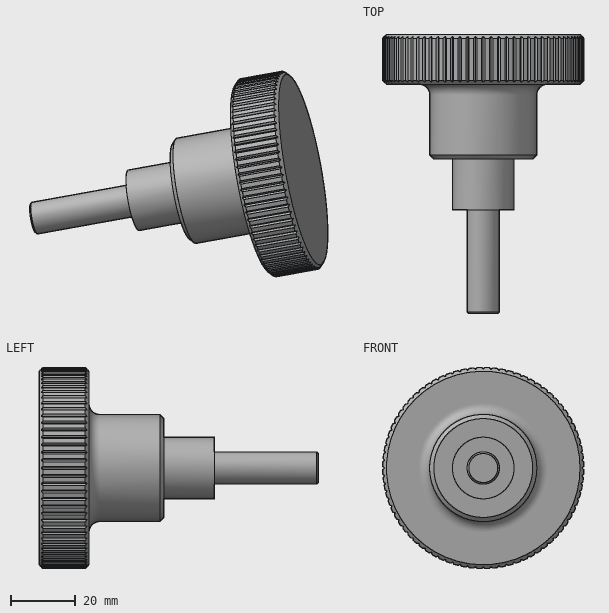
import cadquery as cq
import math

total_length = 86.0
head_back = total_length / 2

head_diameter = 62.0
head_thickness = 15.4
head_chamfer = 1.2
boss_diameter = 33.0
boss_length = 23.05
boss_chamfer = 1.3
boss_fillet = 3.3
groove_count = 80
groove_depth = 0.5
groove_angle = 90.0

collar_diameter = 19.0
collar_length = 15.6
pin_diameter = 10.0
pin_chamfer = 0.5

head_front = head_back - head_thickness
boss_front = head_front - boss_length
collar_front = boss_front - collar_length
pin_tip = head_back - total_length
head_radius = head_diameter / 2
boss_radius = boss_diameter / 2
collar_radius = collar_diameter / 2
pin_radius = pin_diameter / 2


def knob_blank():
    """Head and boss, turned from one half outline of (radius, y) points."""
    return (
        cq.Workplane("XY")
        .moveTo(0, head_back)
        .lineTo(head_radius - head_chamfer, head_back)
        .lineTo(head_radius, head_back - head_chamfer)
        .lineTo(head_radius, head_front + head_chamfer)
        .lineTo(head_radius - head_chamfer, head_front)
        .lineTo(boss_radius + boss_fillet, head_front)
        .radiusArc((boss_radius, head_front - boss_fillet), -boss_fillet)
        .lineTo(boss_radius, boss_front + boss_chamfer)
        .lineTo(boss_radius - boss_chamfer, boss_front)
        .lineTo(0, boss_front)
        .close()
        .revolve(360, (0, 0, 0), (0, 1, 0))
    )


def grip_grooves():
    """V-shaped cutters, evenly spaced around the rim and as long as the head is thick."""
    mouth_radius = head_radius + groove_depth
    root_radius = head_radius - groove_depth
    mouth_half_width = (mouth_radius - root_radius) * math.tan(math.radians(groove_angle / 2))
    cutter = (
        cq.Workplane("XZ", origin=(0, head_back, 0))
        .moveTo(root_radius, 0)
        .lineTo(mouth_radius, mouth_half_width)
        .lineTo(mouth_radius, -mouth_half_width)
        .close()
        .extrude(head_thickness)
        .val()
    )
    cutters = []
    for index in range(groove_count):
        cutters.append(cutter.rotate((0, 0, 0), (0, 1, 0), index * 360 / groove_count))
    return cq.Compound.makeCompound(cutters)


def make_knob():
    """Knob with a grooved head and a plain boss."""
    return knob_blank().cut(grip_grooves()).solids()


def make_stud():
    """Collar seated on the boss face and chamfered pin, turned as one piece."""
    return (
        cq.Workplane("XY")
        .moveTo(0, boss_front)
        .lineTo(collar_radius, boss_front)
        .lineTo(collar_radius, collar_front)
        .lineTo(pin_radius, collar_front)
        .lineTo(pin_radius, pin_tip + pin_chamfer)
        .lineTo(pin_radius - pin_chamfer, pin_tip)
        .lineTo(0, pin_tip)
        .close()
        .revolve(360, (0, 0, 0), (0, 1, 0))
    )


knob = make_knob()
stud = make_stud()

result = cq.Compound.makeCompound([knob.val(), stud.val()])